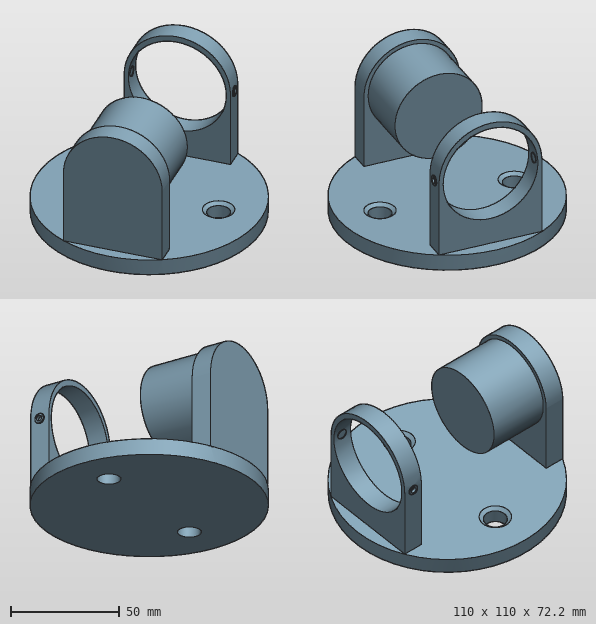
import cadquery as cq

PLATE_DIAMETER = 110.0
PLATE_THICKNESS = 8.0
MOUNT_HOLE_DIAMETER = 11.0
MOUNT_HOLE_OFFSET = 34.0
COUNTERSINK_DIAMETER = 15.0
COUNTERSINK_ANGLE = 110.0

BRACKET_THICKNESS = 10.1
AXIS_HEIGHT = 45.2

RING_RADIUS = 26.1
RING_ARCH_HEIGHT = 46.1
RING_BACK_Y = 48.3
RING_BORE_RADIUS = 24.0

SUPPORT_RADIUS = 24.2
SUPPORT_FRONT_Y = -49.5

BARREL_RADIUS = 22.1
BARREL_LENGTH = 29.9

STUD_DIAMETER = 5.1
STUD_PROJECTION = 0.5
STUD_CHAMFER = 0.2
SOCKET_DIAMETER = 2.8
SOCKET_DEPTH = 1.6
STUD_INNER_RECESS = 0.3

RING_CENTER_Y = RING_BACK_Y - BRACKET_THICKNESS / 2
SUPPORT_BACK_Y = SUPPORT_FRONT_Y + BRACKET_THICKNESS


def cylinder_along_y(radius, front_y, length, height):
    """Solid cylinder on the X = 0 plane, running toward +Y from front_y."""
    return cq.Workplane("XZ", origin=(0, front_y, height)).circle(radius).extrude(-length)


def make_plate():
    """Round plate with two countersunk mounting holes."""
    return (
        cq.Workplane("XY")
        .circle(PLATE_DIAMETER / 2)
        .extrude(PLATE_THICKNESS)
        .faces(">Z")
        .workplane()
        .pushPoints([(-MOUNT_HOLE_OFFSET, 0), (MOUNT_HOLE_OFFSET, 0)])
        .cskHole(MOUNT_HOLE_DIAMETER, COUNTERSINK_DIAMETER, COUNTERSINK_ANGLE)
    )


def make_bracket(radius, arch_height, front_y):
    """Upright bracket with straight sides and a half-round top."""
    return (
        cq.Workplane("XZ", origin=(0, front_y, 0))
        .moveTo(-radius, PLATE_THICKNESS)
        .lineTo(radius, PLATE_THICKNESS)
        .lineTo(radius, arch_height)
        .threePointArc((0, arch_height + radius), (-radius, arch_height))
        .close()
        .extrude(-BRACKET_THICKNESS)
    )


def stud_axis_rod(diameter, reach):
    """Rod along X on the stud axis, extending by reach to both sides of X = 0."""
    return (
        cq.Workplane("YZ", origin=(-reach, RING_CENTER_Y, AXIS_HEIGHT))
        .circle(diameter / 2)
        .extrude(2 * reach)
    )


def make_ring_bracket():
    """Ring bracket with a chamfered, socketed stud on each side."""
    front_y = RING_BACK_Y - BRACKET_THICKNESS
    stud_reach = RING_RADIUS + STUD_PROJECTION
    socket_floor = stud_reach - SOCKET_DEPTH
    studs = stud_axis_rod(STUD_DIAMETER, stud_reach).faces("<X or >X").chamfer(STUD_CHAMFER)
    sockets = stud_axis_rod(SOCKET_DIAMETER, stud_reach).cut(stud_axis_rod(SOCKET_DIAMETER, socket_floor))
    inner_recesses = stud_axis_rod(STUD_DIAMETER, RING_BORE_RADIUS + STUD_INNER_RECESS)
    bore = cylinder_along_y(RING_BORE_RADIUS, front_y, BRACKET_THICKNESS, AXIS_HEIGHT)
    return (
        make_bracket(RING_RADIUS, RING_ARCH_HEIGHT, front_y)
        .union(studs)
        .cut(bore)
        .cut(inner_recesses)
        .cut(sockets)
    )


def make_stand():
    """Plate, support bracket and ring bracket as one solid."""
    support = make_bracket(SUPPORT_RADIUS, AXIS_HEIGHT, SUPPORT_FRONT_Y)
    return make_plate().union(support).union(make_ring_bracket())


def make_barrel():
    """Plain barrel seated against the support bracket."""
    return cylinder_along_y(BARREL_RADIUS, SUPPORT_BACK_Y, BARREL_LENGTH, AXIS_HEIGHT)


stand = make_stand()
barrel = make_barrel()

result = cq.Compound.makeCompound([stand.val(), barrel.val()])